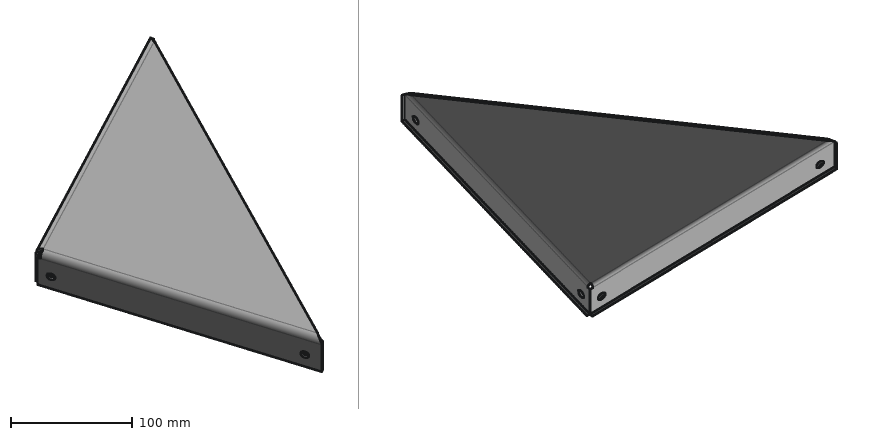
import cadquery as cq
import math

leg_length = 256.0
height = 40.0

sheet = 3.0
bend_radius = 6.0
inner_radius = bend_radius - sheet
neutral_radius = (inner_radius + bend_radius) / 2
fold_axis_height = height - bend_radius

fold_line_end = leg_length - bend_radius
fold_run_out = leg_length - fold_line_end
winding_length = neutral_radius * math.pi / 2

corner_gap = 0.13
flange_start = sheet + corner_gap

hole_diameter = 7.5
hole_edge_offset = 15.0


def make_plate():
    """Triangular top, bounded by the two fold lines and the sloping free edge."""
    return (
        cq.Workplane("XY", origin=(0, 0, height - sheet))
        .moveTo(bend_radius, bend_radius)
        .lineTo(fold_line_end, bend_radius)
        .lineTo(bend_radius, fold_line_end)
        .close()
        .extrude(sheet)
    )


def ring_sector(start_x, inner, outer):
    """Quarter ring around the fold axis, from the plate edge round to the flange edge.

    Local x points along +Y and local y along +Z, with the fold axis at the local origin.
    """
    diagonal = math.sqrt(0.5)
    return (
        cq.Workplane("YZ", origin=(start_x, bend_radius, fold_axis_height))
        .moveTo(0, inner)
        .lineTo(0, outer)
        .threePointArc((-outer * diagonal, outer * diagonal), (-outer, 0))
        .lineTo(-inner, 0)
        .threePointArc((-inner * diagonal, inner * diagonal), (0, inner))
        .close()
    )


def make_fold():
    """Quarter-round fold whose far end winds from the plate corner to the flange end."""
    straight = ring_sector(bend_radius, inner_radius, bend_radius).extrude(fold_line_end - bend_radius)
    run_out = ring_sector(fold_line_end, inner_radius, bend_radius).extrude(fold_run_out)
    winding = ring_sector(fold_line_end, inner_radius / 2, bend_radius * 2).twistExtrude(winding_length, 90)
    return straight.union(run_out.intersect(winding))


def make_flange():
    """Upright strip along the X leg with a mounting hole near each end."""
    strip = (
        cq.Workplane("XY", origin=(flange_start, 0, 0))
        .box(leg_length - flange_start, sheet, fold_axis_height, centered=False)
    )
    hole_places = [(x, hole_edge_offset) for x in (hole_edge_offset, leg_length - hole_edge_offset)]
    holes = cq.Workplane("XZ").pushPoints(hole_places).circle(hole_diameter / 2).extrude(-sheet)
    return strip.cut(holes)


x_side = make_fold().union(make_flange())
y_side = x_side.mirror(cq.Vector(1, -1, 0))

result = make_plate().union(x_side).union(y_side)